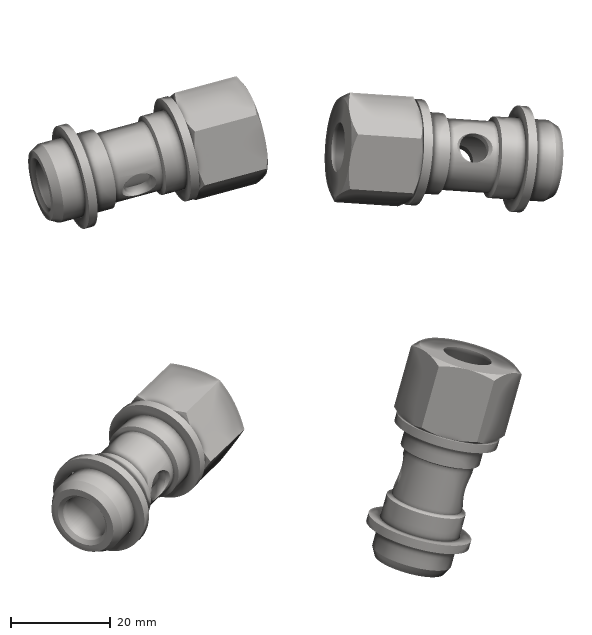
import cadquery as cq
import math

total_length = 45.0
head_length = 15.0
head_start = total_length - head_length
tip_chamfer_length = 1.8
groove_start = 13.45
groove_end = 23.45
groove_taper_length = 0.4

across_flats = 20.0
head_chamfer_angle = 30.0
head_corner_radius = across_flats / 2 / math.cos(math.pi / 6)
head_chamfer_radius = across_flats / 2
head_chamfer_length = (head_corner_radius - head_chamfer_radius) * math.tan(math.radians(head_chamfer_angle))

shank_radius = 8.25
groove_radius = 7.25
tip_radius = groove_radius
bore_radius = 5.0
bore_mouth_radius = 5.75
bore_mouth_depth = bore_mouth_radius - bore_radius

cross_hole_radius = 3.0
cross_hole_y = (groove_start + groove_end) / 2
sink_floor = math.sqrt(groove_radius**2 - cross_hole_radius**2)
sink_depth = 1.35

washer_radius = 10.7
washer_bore_radius = 8.35
washer_thickness = 1.8
washer_starts = [6.4, head_start - washer_thickness]


def revolve_about_axis(points):
    """Revolve a closed (radius, y) outline about the Y axis."""
    return cq.Workplane("XY").polyline(points).close().revolve(360, (0, 0, 0), (0, 1, 0))


def make_head():
    """Hexagonal prism with both ends chamfered by cones."""
    hexagon = (
        cq.Workplane("XZ", origin=(0, head_start, 0))
        .polygon(6, 2 * head_corner_radius)
        .extrude(-head_length)
    )
    envelope = revolve_about_axis([
        (0, head_start),
        (head_chamfer_radius, head_start),
        (head_corner_radius, head_start + head_chamfer_length),
        (head_corner_radius, total_length - head_chamfer_length),
        (head_chamfer_radius, total_length),
        (0, total_length),
    ])
    return hexagon.intersect(envelope)


def make_shank():
    """Round shank with a tapered tip and a groove with sloping shoulders."""
    return revolve_about_axis([
        (0, 0),
        (tip_radius, 0),
        (shank_radius, tip_chamfer_length),
        (shank_radius, groove_start - groove_taper_length),
        (groove_radius, groove_start),
        (groove_radius, groove_end),
        (shank_radius, groove_end + groove_taper_length),
        (shank_radius, head_start),
        (0, head_start),
    ])


def make_bore():
    """Through bore with a conical mouth at the tip."""
    return revolve_about_axis([
        (0, 0),
        (bore_mouth_radius, 0),
        (bore_radius, bore_mouth_depth),
        (bore_radius, total_length),
        (0, total_length),
    ])


def make_cross_hole():
    """Hole along X with a 45 degree countersink at each end."""
    sink_end = sink_floor + sink_depth
    sink_radius = cross_hole_radius + sink_depth
    half_outline = [(sink_floor, cross_hole_radius), (sink_end, sink_radius), (sink_end, 0)]
    mirrored = [(-x, radius) for x, radius in reversed(half_outline)]
    return (
        cq.Workplane("XY", origin=(0, cross_hole_y, 0))
        .polyline(mirrored + half_outline)
        .close()
        .revolve(360, (0, 0, 0), (1, 0, 0))
    )


def make_banjo_bolt():
    """Hollow bolt: head and shank, bored through and cross-drilled."""
    return make_shank().union(make_head()).cut(make_bore()).cut(make_cross_hole())


def make_washer(start):
    """Flat ring whose lower face lies at y = start."""
    return (
        cq.Workplane("XZ", origin=(0, start, 0))
        .circle(washer_radius)
        .circle(washer_bore_radius)
        .extrude(-washer_thickness)
    )


banjo_bolt = make_banjo_bolt()
washers = [make_washer(start) for start in washer_starts]

result = cq.Compound.makeCompound([banjo_bolt.val(), *[washer.val() for washer in washers]])